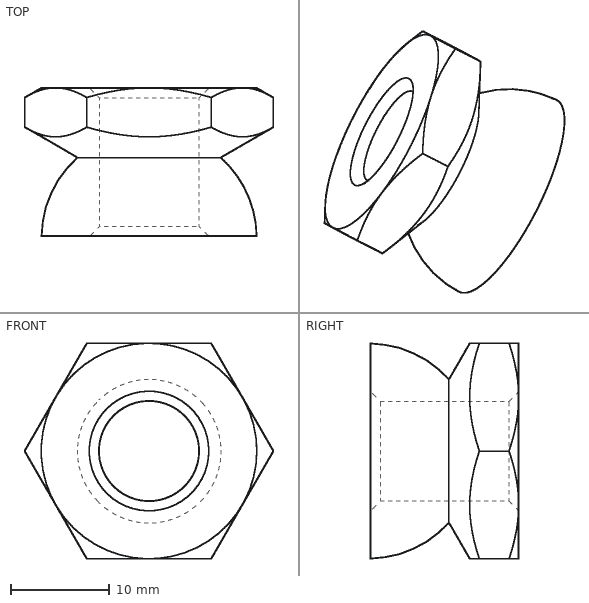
import cadquery as cq
import math

hex_sides = 6
across_flats = 22.0
total_length = 15.14
bore_diameter = 10.2
bore_chamfer = 1.0
hex_flat_length = 5.0
sphere_radius = 11.0
sphere_offset = 0.18
cone_angle = 30.0

flat_radius = across_flats / 2
corner_radius = flat_radius / math.cos(math.pi / hex_sides)
cone_slope = math.tan(math.radians(cone_angle))
front_y = -total_length / 2
back_y = total_length / 2
sphere_y = front_y - sphere_offset
cone_start_y = back_y - hex_flat_length

cone_apex = cone_start_y - sphere_y - cone_slope * flat_radius
quadratic_a = 1 + cone_slope**2
quadratic_b = 2 * cone_slope * cone_apex
quadratic_c = cone_apex**2 - sphere_radius**2
discriminant = quadratic_b**2 - 4 * quadratic_a * quadratic_c
neck_radius = (-quadratic_b + math.sqrt(discriminant)) / (2 * quadratic_a)
neck_y = sphere_y + cone_apex + cone_slope * neck_radius


def revolve_about_y(profile):
    """Turn a closed (radius, y) profile about the Y axis."""
    return profile.close().revolve(360, (0, 0, 0), (0, 1, 0))


def ball_seat():
    """Spherical collar between the flat front face and the neck."""
    front_angle = math.asin(sphere_offset / sphere_radius)
    neck_angle = math.asin((neck_y - sphere_y) / sphere_radius)
    middle_angle = (front_angle + neck_angle) / 2
    face_radius = sphere_radius * math.cos(front_angle)
    middle_point = (
        sphere_radius * math.cos(middle_angle),
        sphere_y + sphere_radius * math.sin(middle_angle),
    )
    profile = (
        cq.Workplane("XY")
        .moveTo(0, front_y)
        .lineTo(face_radius, front_y)
        .threePointArc(middle_point, (neck_radius, neck_y))
        .lineTo(0, neck_y)
    )
    return revolve_about_y(profile)


def hex_head():
    """Hexagon with corners on X, trimmed by a cone at the back and one down to the neck."""
    hexagon = (
        cq.Workplane("XZ", origin=(0, back_y, 0))
        .polygon(hex_sides, 2 * corner_radius)
        .extrude(back_y - neck_y)
    )
    corner_rise = cone_slope * (corner_radius - flat_radius)
    profile = (
        cq.Workplane("XY")
        .moveTo(0, neck_y)
        .lineTo(neck_radius, neck_y)
        .lineTo(corner_radius, cone_start_y + corner_rise)
        .lineTo(corner_radius, back_y - corner_rise)
        .lineTo(flat_radius, back_y)
        .lineTo(0, back_y)
    )
    return hexagon.intersect(revolve_about_y(profile))


def bore():
    """Through bore with a 45 degree chamfer at each end."""
    bore_radius = bore_diameter / 2
    mouth_radius = bore_radius + bore_chamfer
    profile = (
        cq.Workplane("XY")
        .moveTo(0, front_y)
        .lineTo(mouth_radius, front_y)
        .lineTo(bore_radius, front_y + bore_chamfer)
        .lineTo(bore_radius, back_y - bore_chamfer)
        .lineTo(mouth_radius, back_y)
        .lineTo(0, back_y)
    )
    return revolve_about_y(profile)


result = hex_head().union(ball_seat()).cut(bore())